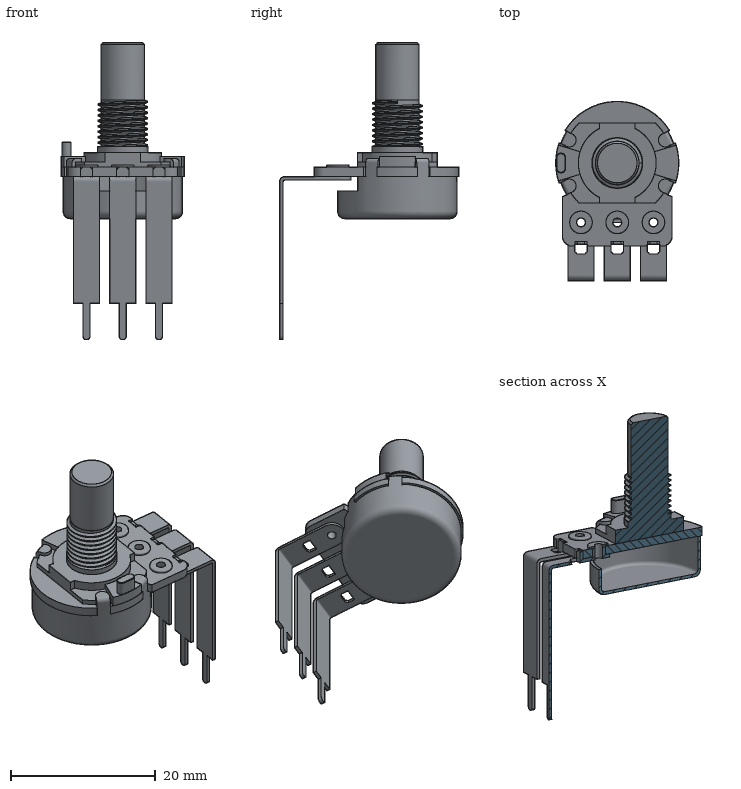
import cadquery as cq

can_bottom = 16.7
board_bottom = 22.5
board_thickness = 1.3
board_top = board_bottom + board_thickness
plate_top = board_top + 0.7
ear_top = board_top + 1.48
disc_top = board_top + 2.0
collar_top = 26.65
lug_top = 27.25
bushing_top = 33.1
shaft_top = 41.0

sheet = 0.5
can_radius = 16.5 / 2
can_bore_radius = can_radius - sheet
can_edge_radius = 1.0
window_sill = 20.55
window_back_y = -5.5

tab_tilt = 25.5
tab_angles = (tab_tilt, 180 - tab_tilt, 180 + tab_tilt, -tab_tilt)
tab_width = 1.9
tab_tip_radius = 6.4
tab_bend_radius = 0.57
tab_top = plate_top + sheet

board_radius = 17.0 / 2
tail_width = 15.15
tail_front_y = -11.5
tail_corner_radius = 1.4

plate_radius = 7.63
plate_depth = 11.05
disc_radius = 5.37
pad_width = 4.88
ear_half_angle = 16.9

lug_width = 1.27
lug_length = 2.75
lug_outer_x = -8.4
lug_chamfer = 0.1

shaft_diameter = 6.03
shaft_chamfer = 0.3
collar_diameter = 7.0
thread_root_diameter = 6.0
thread_crest_diameter = 6.9
thread_pitch = 0.75
thread_turns = 8.5
thread_start = 26.45
thread_base_width = 0.57
thread_crest_width = 0.12
thread_embed = 0.1

terminal_spacing = 5.0
terminal_width = 3.6
terminal_thickness = 0.5
terminal_front_y = board_radius - 24.75
terminal_bend_inner = 0.25
terminal_bend_outer = terminal_bend_inner + terminal_thickness
pin_width = 1.0
pin_length = 5.0
pin_tip_radius = 0.45

eyelet_y = -8.2
eyelet_hole = 1.2
eyelet_barrel = 2.0
eyelet_flange = 3.1
eyelet_flange_height = 0.3
eyelet_edge_radius = 0.12

tongue_width = 1.72
tongue_thickness = 0.4
tongue_back_y = -10.82
tongue_chamfer = 0.35
opening_front_y = -12.55
opening_chamfer = 0.33

terminal_xs = [i * terminal_spacing for i in (-1, 0, 1)]


def block(x_min, x_max, y_min, y_max, z_min, z_max):
    """Box between the given coordinates."""
    size = (x_max - x_min, y_max - y_min, z_max - z_min)
    return cq.Workplane().box(*size, centered=False).translate((x_min, y_min, z_min))


def disc(diameter, z_min, z_max, y=0):
    """Upright cylinder centred on X = 0."""
    return cq.Workplane().workplane(offset=z_min).center(0, y).circle(diameter / 2).extrude(z_max - z_min)


def around_tabs(shape):
    """Copies of a shape that lies along +X, one turned to each can tab."""
    turned = cq.Workplane()
    for angle in tab_angles:
        turned = turned.add(shape.rotate((0, 0, 0), (0, 0, 1), angle))
    return turned.combine()


def make_can_tabs():
    """Four round-ended strips that rise from the can wall and bend in over the plate."""
    bend_center = can_radius - tab_bend_radius
    ring = (
        cq.Workplane("XZ")
        .moveTo(can_bore_radius, board_bottom - sheet)
        .lineTo(can_radius, board_bottom - sheet)
        .lineTo(can_radius, tab_top - tab_bend_radius)
        .radiusArc((bend_center, tab_top), -tab_bend_radius)
        .lineTo(tab_tip_radius, tab_top)
        .lineTo(tab_tip_radius, plate_top)
        .lineTo(bend_center, plate_top)
        .radiusArc((can_bore_radius, tab_top - tab_bend_radius), tab_bend_radius - sheet)
        .close()
        .revolve(360, (0, 0, 0), (0, 1, 0))
    )
    tip_center = tab_tip_radius + tab_width / 2
    strip = block(tip_center, can_radius + 0.4, -tab_width / 2, tab_width / 2, can_bottom, disc_top)
    strip = strip.union(disc(tab_width, can_bottom, disc_top).translate((tip_center, 0, 0)))
    return ring.intersect(around_tabs(strip))


def make_can():
    """Round cup with a window in the front of its rim and four bent tabs."""
    cup = disc(2 * can_radius, can_bottom, board_bottom).faces("<Z").edges().fillet(can_edge_radius)
    cavity = disc(2 * can_bore_radius, can_bottom + sheet, board_bottom)
    cavity = cavity.faces("<Z").edges().fillet(can_edge_radius - sheet)
    window = block(-can_radius, can_radius, -can_radius, window_back_y, window_sill, board_bottom)
    return cup.cut(cavity).cut(window).union(make_can_tabs())


def make_board():
    """Round board with a tail for the terminals, notched for the can tabs and tongues."""
    tail = block(-tail_width / 2, tail_width / 2, tail_front_y, 0, board_bottom, board_top)
    tail = tail.edges("|Z and <Y").fillet(tail_corner_radius)
    board = disc(2 * board_radius, board_bottom, board_top).union(tail)
    tab_notch = block(0, board_radius + 0.4, -tab_width / 2, tab_width / 2, board_bottom, board_top)
    tab_notch = tab_notch.cut(disc(2 * can_bore_radius, board_bottom, board_top))
    board = board.cut(around_tabs(tab_notch))
    barrel_hole = disc(eyelet_barrel, board_bottom, board_top, eyelet_y)
    tongue_notch = block(
        -tongue_width / 2, tongue_width / 2, tail_front_y, tongue_back_y, board_bottom, board_top
    )
    for x in terminal_xs:
        board = board.cut(barrel_hole.translate((x, 0, 0)))
        board = board.cut(tongue_notch.translate((x, 0, 0)))
    return board


def make_ears():
    """Two wedges, opposite each other in X, that reach out to the board's edge."""
    wedge = (
        cq.Workplane("XZ")
        .moveTo(0, board_top)
        .lineTo(board_radius, board_top)
        .lineTo(board_radius, ear_top)
        .lineTo(0, ear_top)
        .close()
        .revolve(2 * ear_half_angle, (0, 0, 0), (0, 1, 0))
    )
    right_ear = wedge.rotate((0, 0, 0), (0, 0, 1), -ear_half_angle)
    return right_ear.union(right_ear.mirror("YZ"))


def make_plate():
    """Flat-sided plate with a raised disc, two pads, two ears and the locating lug."""
    half_depth = plate_depth / 2
    slab = block(-plate_radius, plate_radius, -half_depth, half_depth, board_top, plate_top)
    plate = disc(2 * plate_radius, board_top, plate_top).intersect(slab)
    pads = block(-pad_width / 2, pad_width / 2, -half_depth, half_depth, board_top, disc_top)
    lug = (
        cq.Workplane()
        .workplane(offset=board_top)
        .center(lug_outer_x + lug_width / 2, 0)
        .slot2D(lug_length, lug_width, 90)
        .extrude(lug_top - board_top)
        .faces(">Z")
        .chamfer(lug_chamfer)
    )
    return plate.union(disc(2 * disc_radius, board_top, disc_top)).union(pads).union(make_ears()).union(lug)


def make_thread():
    """Helical ridge on the bushing core, from the collar on the left to its end on the right."""
    root = thread_root_diameter / 2
    inner = root - thread_embed
    crest = thread_crest_diameter / 2
    height = thread_pitch * thread_turns
    helix = cq.Wire.makeHelix(thread_pitch, height, root, cq.Vector(0, 0, thread_start))
    ridge = (
        cq.Workplane("XZ")
        .moveTo(inner, thread_start - thread_base_width / 2)
        .lineTo(crest, thread_start - thread_crest_width / 2)
        .lineTo(crest, thread_start + thread_crest_width / 2)
        .lineTo(inner, thread_start + thread_base_width / 2)
        .close()
    )
    return ridge.sweep(cq.Workplane(helix), isFrenet=True).rotate((0, 0, 0), (0, 0, 1), 180)


def make_bushing_and_shaft():
    """Mounting plate with collar, threaded bushing and plain shaft."""
    collar = disc(collar_diameter, disc_top, collar_top)
    core = disc(thread_root_diameter, disc_top, bushing_top)
    shaft = disc(shaft_diameter, bushing_top, shaft_top).faces(">Z").chamfer(shaft_chamfer)
    return make_plate().union(collar).union(core.union(make_thread())).union(shaft)


def make_terminal():
    """Bent strip with a round riveted end, a stop tongue and a narrow solder pin."""
    half_width = terminal_width / 2
    strip_bottom = board_bottom - terminal_thickness
    strip_back_y = terminal_front_y + terminal_thickness

    leg_and_strip = (
        block(-half_width, half_width, terminal_front_y, eyelet_y, pin_length, board_bottom)
        .cut(block(-half_width, half_width, strip_back_y, eyelet_y, pin_length, strip_bottom))
        .edges("|X and <Y and >Z")
        .fillet(terminal_bend_outer)
    )
    inner_bend = cq.selectors.NearestToPointSelector((0, strip_back_y, strip_bottom))
    leg_and_strip = leg_and_strip.edges(inner_bend).fillet(terminal_bend_inner)

    pin = block(-pin_width / 2, pin_width / 2, terminal_front_y, strip_back_y, 0, pin_length)
    pin = pin.edges("|Y and <Z").fillet(pin_tip_radius)

    half_tongue = tongue_width / 2
    tongue_front_y = tongue_back_y - tongue_thickness
    tongue = block(-half_tongue, half_tongue, tongue_front_y, tongue_back_y, strip_bottom, board_top)
    tongue = tongue.edges("|Y and >Z").chamfer(tongue_chamfer)
    opening = block(
        -half_tongue, half_tongue, opening_front_y, tongue_front_y, strip_bottom, board_bottom
    )
    opening = opening.edges("|Z and <Y").chamfer(opening_chamfer)

    flange_top = board_top + eyelet_flange_height
    flange = disc(eyelet_flange, board_top, flange_top, eyelet_y)
    flange = flange.faces(">Z").edges().fillet(eyelet_edge_radius)
    return (
        leg_and_strip.union(disc(terminal_width, strip_bottom, board_bottom, eyelet_y))
        .union(pin)
        .cut(opening)
        .union(tongue)
        .union(disc(eyelet_barrel, board_bottom, board_top, eyelet_y))
        .union(flange)
        .cut(disc(eyelet_hole, strip_bottom, flange_top, eyelet_y))
    )


can = make_can()
board = make_board()
bushing_and_shaft = make_bushing_and_shaft()
terminals = [make_terminal().translate((x, 0, 0)) for x in terminal_xs]

result = cq.Compound.makeCompound(
    [can.val(), board.val(), bushing_and_shaft.val(), *[terminal.val() for terminal in terminals]]
)